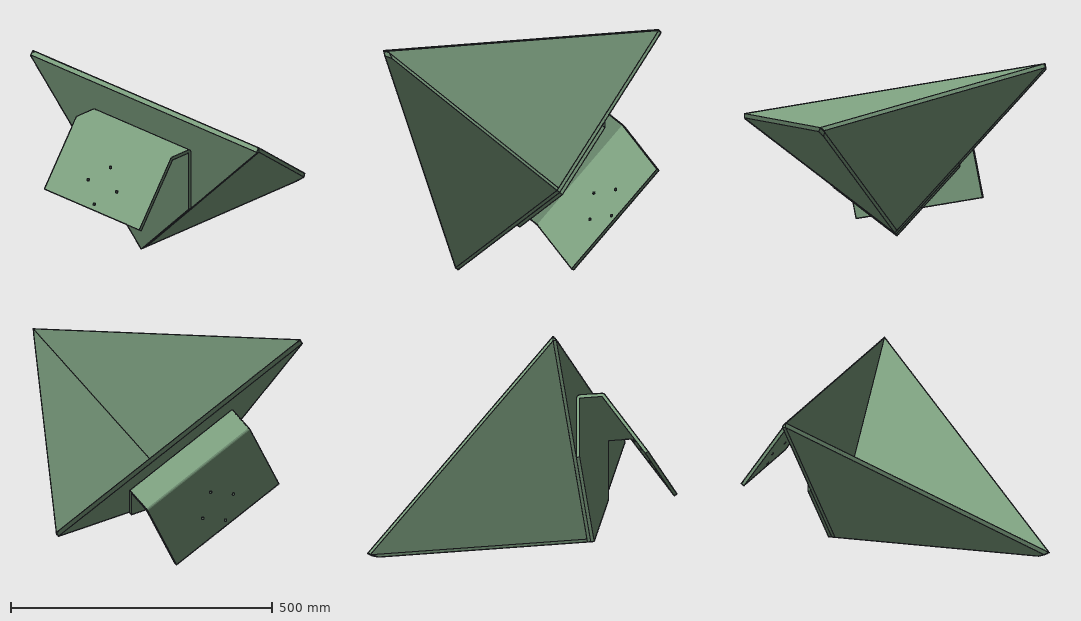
import cadquery as cq
import math

HALF_WIDTH = 305.0
LENGTH = 578.5
HEIGHT = 314.0
PLATE_GAP = HEIGHT - HALF_WIDTH
PLATE = PLATE_GAP / math.sqrt(2)
LAP = PLATE_GAP / 2

PANEL_FRONT = 141.0
PANEL_BACK = PANEL_FRONT + PLATE
PANEL_BEVEL = 7.5

TIP_TRIM_LENGTH = 22.0

BRACKET_WIDTH = 256.0
BRACKET_TOP = 254.0
SHEET = 7.0
BEND_INNER = 1.0
BEND_OUTER = BEND_INNER + SHEET
LEG_ANGLE = 55.0
LEG_TIP_Z = 130.0

HOLE_DIAMETER = 5.0
HOLE_CIRCLE_RADIUS = 38.5
HOLE_COUNT = 4
HOLE_CENTRE_Z = 170.5


def extrude_along_y(points, y_start, y_end):
    """Prism between two Y positions from an outline given in X and Z."""
    face = cq.Workplane("XZ", origin=(0, y_start, 0)).polyline(points).close()
    return face.extrude(y_start - y_end)


def extrude_along_x(points, width):
    """Prism centred on X = 0 from an outline given in Y and Z."""
    return cq.Workplane("YZ").polyline(points).close().extrude(width / 2, both=True)


def trim_scoop(plate):
    """Cut a side plate to the triangular plan and trim the underside of its tip."""
    plan = (
        cq.Workplane("XY")
        .polyline([(-HALF_WIDTH, PANEL_BACK), (HALF_WIDTH, PANEL_BACK), (0, LENGTH)])
        .close()
        .extrude(HEIGHT)
    )
    wedge = extrude_along_x(
        [(LENGTH - TIP_TRIM_LENGTH, 0), (LENGTH, 0), (LENGTH, PLATE_GAP)], 2 * HALF_WIDTH
    )
    return plate.intersect(plan).cut(wedge)


def make_right_plate():
    """Plate whose lower end runs under the left plate."""
    outline = [(0, 0), (HALF_WIDTH, HALF_WIDTH), (HALF_WIDTH, HEIGHT), (-LAP, LAP)]
    return trim_scoop(extrude_along_y(outline, PANEL_BACK, LENGTH))


def make_left_plate():
    """Plate that butts against the inner face of the right plate."""
    outline = [(-LAP, LAP), (-HALF_WIDTH, HALF_WIDTH), (-HALF_WIDTH, HEIGHT), (0, PLATE_GAP)]
    return trim_scoop(extrude_along_y(outline, PANEL_BACK, LENGTH))


def make_front_panel():
    """Triangle with blunt upper corners and a top edge sloping down to the front."""
    outline = [
        (0, 0),
        (HALF_WIDTH, HALF_WIDTH),
        (HALF_WIDTH, HEIGHT),
        (-HALF_WIDTH, HEIGHT),
        (-HALF_WIDTH, HALF_WIDTH),
    ]
    panel = extrude_along_y(outline, PANEL_FRONT, PANEL_BACK)
    bevel = extrude_along_x(
        [(PANEL_FRONT, HEIGHT - PANEL_BEVEL), (PANEL_BACK, HEIGHT), (PANEL_FRONT, HEIGHT)],
        2 * HALF_WIDTH,
    )
    return panel.cut(bevel)


def make_bracket():
    """Bent sheet: pointed mounting leg, horizontal shelf and sloping drilled leg."""
    slope = math.radians(LEG_ANGLE)
    bend_y = (BRACKET_TOP - LEG_TIP_Z) / math.tan(slope)
    inner_bend_y = bend_y + SHEET * math.tan(slope / 2)
    inner_top = BRACKET_TOP - SHEET
    leg_back = PANEL_FRONT - SHEET
    profile = [
        (PANEL_FRONT, 0),
        (PANEL_FRONT, BRACKET_TOP),
        (bend_y, BRACKET_TOP),
        (0, LEG_TIP_Z),
        (SHEET * math.sin(slope), LEG_TIP_Z - SHEET * math.cos(slope)),
        (inner_bend_y, inner_top),
        (leg_back, inner_top),
        (leg_back, 0),
    ]
    bracket = extrude_along_x(profile, BRACKET_WIDTH)

    def bend_edge(y, z):
        return cq.selectors.NearestToPointSelector((0, y, z))

    for y in (PANEL_FRONT, bend_y):
        bracket = bracket.edges("|X").edges(bend_edge(y, BRACKET_TOP)).fillet(BEND_OUTER)
    for y in (leg_back, inner_bend_y):
        bracket = bracket.edges("|X").edges(bend_edge(y, inner_top)).fillet(BEND_INNER)

    half = BRACKET_WIDTH / 2
    for side in (-1, 1):
        corner = extrude_along_y([(0, 0), (side * half, 0), (side * half, half)], leg_back, PANEL_FRONT)
        bracket = bracket.cut(corner)

    centre_y = (HOLE_CENTRE_Z - LEG_TIP_Z) / math.tan(slope)
    leg_plane = cq.Plane(
        origin=(0, centre_y, HOLE_CENTRE_Z),
        xDir=(1, 0, 0),
        normal=(0, -math.sin(slope), math.cos(slope)),
    )
    holes = (
        cq.Workplane(leg_plane)
        .polarArray(HOLE_CIRCLE_RADIUS, 0, 360, HOLE_COUNT)
        .circle(HOLE_DIAMETER / 2)
        .extrude(SHEET, both=True)
    )
    return bracket.cut(holes)


right_plate = make_right_plate()
left_plate = make_left_plate()
front_panel = make_front_panel()
bracket = make_bracket()

result = cq.Compound.makeCompound(
    [body.solids().val() for body in (right_plate, left_plate, front_panel, bracket)]
)